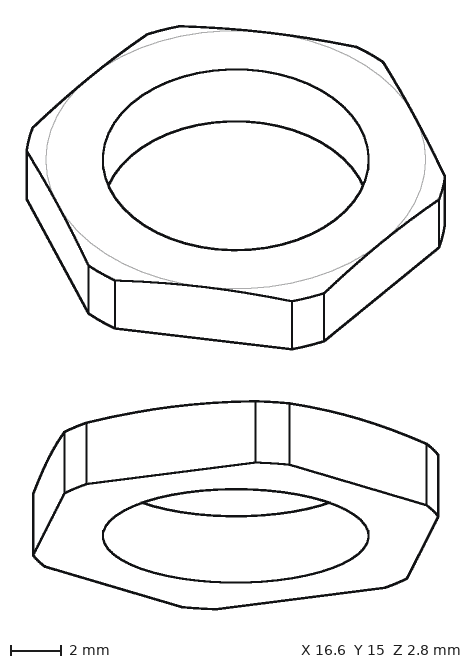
import cadquery as cq
import math

corner_diameter = 16.6
across_flats = 15.0
height = 2.8
bore_diameter = 10.5
chamfer_angle = 15.0

corner_radius = corner_diameter / 2
top_face_radius = across_flats / 2
chamfer_drop = (corner_radius - top_face_radius) * math.tan(math.radians(chamfer_angle))
hexagon_diameter = across_flats / math.cos(math.radians(30))


def hexagonal_prism():
    """Sharp-cornered hexagon with corners on the X axis."""
    return cq.Workplane("XY").polygon(6, hexagon_diameter).extrude(height)


def turned_blank():
    """Cylinder with a shallow cone around its top face."""
    half_profile = [
        (0, 0),
        (corner_radius, 0),
        (corner_radius, height - chamfer_drop),
        (top_face_radius, height),
        (0, height),
    ]
    return cq.Workplane("XZ").polyline(half_profile).close().revolve(360, (0, 0), (0, 1))


def bore():
    """Plain through bore."""
    return cq.Workplane("XY").circle(bore_diameter / 2).extrude(height)


result = hexagonal_prism().intersect(turned_blank()).cut(bore())